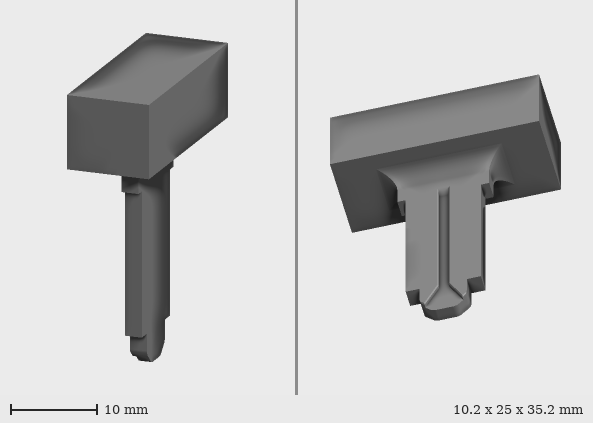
import cadquery as cq
import math

HEAD_X = 10.2
HEAD_Y = 25.0
HEAD_Z = 9.05
TOTAL_HEIGHT = 35.2

BLADE_THICKNESS = 2.1
COLLAR_WIDTH = 11.0
COLLAR_BOTTOM = -4.4
SHAFT_WIDTH = 8.98
SHAFT_BOTTOM = -22.18
TIP_WIDTH = 5.63
TIP_BOTTOM = HEAD_Z - TOTAL_HEIGHT
TIP_CHAMFER = 1.4
TIP_ROUNDING = 1.0
NECK_FILLET = 2.0

GROOVE_DEPTH = 0.55
GROOVE_WIDTH = 1.2
GROOVE_RIM_TOP = -3.45
GROOVE_FLOOR_TOP = -4.33
FLARE_START = SHAFT_BOTTOM
FLARE_ANGLE = 28.0
EDGE_BREAK = 0.123

GROOVED_FACE = -BLADE_THICKNESS / 2


def blade_section(width, bottom):
    """Centred slab from the head underside down to the given level."""
    height = -bottom
    return cq.Workplane("XY").box(BLADE_THICKNESS, width, height).translate((0, 0, bottom / 2))


def make_head_and_collar():
    head = cq.Workplane("XY").box(HEAD_X, HEAD_Y, HEAD_Z, centered=(True, True, False))
    body = head.union(blade_section(COLLAR_WIDTH, COLLAR_BOTTOM))
    half_thickness = BLADE_THICKNESS / 2
    half_width = COLLAR_WIDTH / 2
    margin = 0.05
    neck_edges = cq.selectors.BoxSelector(
        (-half_thickness - margin, -half_width - margin, -margin),
        (half_thickness + margin, half_width + margin, margin),
    )
    return body.edges(neck_edges).fillet(NECK_FILLET)


def make_tip():
    tip = blade_section(TIP_WIDTH, TIP_BOTTOM)
    tip = tip.faces("<Z").edges("|X").chamfer(TIP_CHAMFER)
    chamfer_top = TIP_BOTTOM + TIP_CHAMFER
    margin = 0.05
    corners = cq.selectors.BoxSelector(
        (-BLADE_THICKNESS, -TIP_WIDTH, TIP_BOTTOM - margin),
        (BLADE_THICKNESS, TIP_WIDTH, chamfer_top + margin),
    )
    return tip.edges("|X").edges(corners).fillet(TIP_ROUNDING)


def groove_outline(top):
    """Closed (Y, Z) outline of the groove, carried to the tip level to open it."""
    half_width = GROOVE_WIDTH / 2
    flare_half_width = half_width + (FLARE_START - TIP_BOTTOM) * math.tan(math.radians(FLARE_ANGLE))
    return [
        (-half_width, top),
        (half_width, top),
        (half_width, FLARE_START),
        (flare_half_width, TIP_BOTTOM),
        (-flare_half_width, TIP_BOTTOM),
        (-half_width, FLARE_START),
    ]


def make_groove():
    """Groove cutter with upright sides and a sloping upper end."""
    return (
        cq.Workplane("YZ", origin=(GROOVED_FACE, 0, 0))
        .polyline(groove_outline(GROOVE_RIM_TOP)).close()
        .workplane(offset=GROOVE_DEPTH)
        .polyline(groove_outline(GROOVE_FLOOR_TOP)).close()
        .loft(ruled=True)
    )


def break_groove_rim(body):
    """Bevel the long side edges of the groove where they meet the grooved face."""
    margin = 0.05
    rim_reach = TIP_WIDTH / 2 - TIP_CHAMFER / 2
    rim = cq.selectors.BoxSelector(
        (GROOVED_FACE - margin, -rim_reach, TIP_BOTTOM),
        (GROOVED_FACE + margin, rim_reach, GROOVE_RIM_TOP - margin),
    )
    return body.edges(rim).chamfer(EDGE_BREAK)


def make_tip_bevel():
    """Prism that bevels the grooved face along the tip's 45 degree edge on the +Y side."""
    edge_middle = (TIP_WIDTH - TIP_CHAMFER) / 2
    length = 2 * TIP_CHAMFER
    return (
        cq.Workplane("XY")
        .polyline([(0, 0), (EDGE_BREAK, 0), (0, -EDGE_BREAK)]).close()
        .extrude(length / 2, both=True)
        .rotate((0, 0, 0), (1, 0, 0), -45)
        .translate((GROOVED_FACE, edge_middle, TIP_BOTTOM + TIP_CHAMFER / 2))
    )


blade_and_head = (
    make_head_and_collar()
    .union(blade_section(SHAFT_WIDTH, SHAFT_BOTTOM))
    .union(make_tip())
    .cut(make_groove())
)
tip_bevel = make_tip_bevel()
result = (
    break_groove_rim(blade_and_head)
    .cut(tip_bevel)
    .cut(tip_bevel.mirror("XZ"))
)